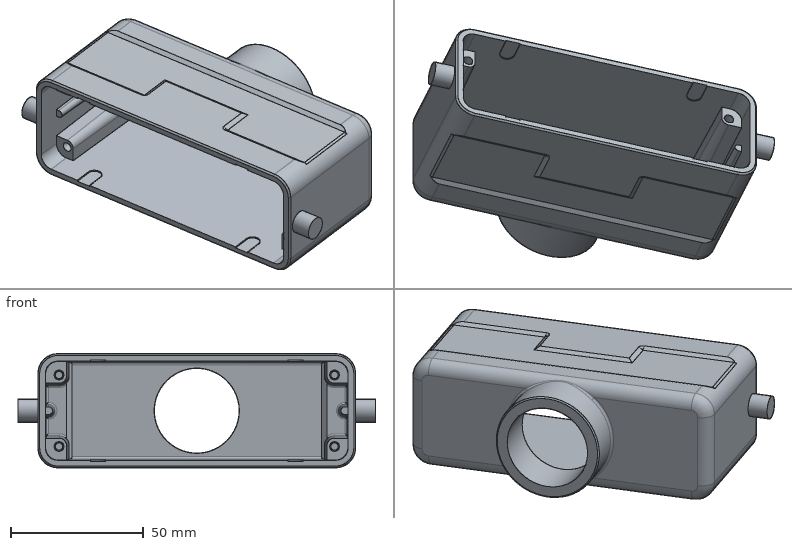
import cadquery as cq
import math

TOTAL_LENGTH = 135.0
TOTAL_DEPTH = 69.5
BODY_LENGTH = 119.9
BODY_DEPTH = 55.0
BODY_HEIGHT = 43.0
CORNER_RADIUS = 7.5
BACK_FILLET = 5.0
RIM_CHAMFER = 0.7

EDGE_MARGIN = 0.1

NECK_DIAMETER = 41.0
NECK_EDGE_CHAMFER = 0.5
NECK_ROOT_FILLET = 1.0
ENTRY_DIAMETER = 32.0
PIN_DIAMETER = 8.8
PIN_TO_MOUTH = 6.1

WALL = 2.8
BACK_WALL = 3.0
WALL_DRAFT = 0.5
SHELF_OPENING_LENGTH = 98.3
FLOOR_LENGTH = 94.0
FLOOR_FILLET = 1.0
SHELF_FILLET = 0.7
CAVITY_LENGTH = BODY_LENGTH - 2 * WALL
CAVITY_HEIGHT = BODY_HEIGHT - 2 * WALL
CAVITY_DEPTH = BODY_DEPTH - BACK_WALL
SHELF_DEPTH = CAVITY_DEPTH - (SHELF_OPENING_LENGTH - FLOOR_LENGTH) / 2

PILLAR_TOP_DEPTH = 9.5
PILLAR_GAP = 20.8
PILLAR_RADIUS = 2.7
PILLAR_DRAFT = 1.4
SCREW_X = 52.0
SCREW_Z = 13.5
SCREW_DIAMETER = 3.6
SCREW_DRAFT = 1.5
SCREW_DEPTH = 16.2
RIB_RADIUS = 1.5
RIB_REACH = 2.7

SLOT_X = 37.3
SLOT_WIDTH = 5.7
SLOT_LENGTH = 9.7
SLOT_DEPTH = 0.4

PANEL_DEPTH = 1.1
PANEL_SLOPE_RUN = 1.8
PANEL_LENGTH = 111.5
PANEL_FRONT = 14.8
PANEL_BACK = 40.2
TAB_WIDTH = 39.2
TAB_FRONT = 27.7
PANEL_EDGE_RUN = 1.2
PANEL_EDGE_DROP = 0.4


def looking_in(depth):
    """Plane parallel to the mouth at the given depth, facing +Y."""
    return cq.Workplane(cq.Plane(origin=(0, depth, 0), xDir=(1, 0, 0), normal=(0, 1, 0)))


def make_body():
    body = looking_in(0).rect(BODY_LENGTH, BODY_HEIGHT).extrude(BODY_DEPTH)
    body = body.edges("|Y").fillet(CORNER_RADIUS)
    body = body.faces(">Y").edges().fillet(BACK_FILLET)
    return body.faces("<Y").edges().chamfer(RIM_CHAMFER)


def make_neck():
    neck = looking_in(BODY_DEPTH / 2).circle(NECK_DIAMETER / 2).extrude(TOTAL_DEPTH - BODY_DEPTH / 2)
    return neck.faces(">Y").chamfer(NECK_EDGE_CHAMFER)


def make_pins():
    pins = cq.Workplane("YZ").center(PIN_TO_MOUTH, 0).circle(PIN_DIAMETER / 2)
    return pins.extrude(TOTAL_LENGTH / 2, both=True)


def make_panel_edge_cutter(side):
    """Strip that lets the end of the recess floor fall away towards the rounded body edge."""
    inner_x = side * PANEL_LENGTH / 2
    outer_x = side * (PANEL_LENGTH / 2 + PANEL_EDGE_RUN)
    top_z = BODY_HEIGHT / 2
    floor_z = top_z - PANEL_DEPTH
    profile = [
        (inner_x, top_z),
        (inner_x, floor_z),
        (outer_x, floor_z - PANEL_EDGE_DROP),
        (outer_x, top_z),
    ]
    strip = cq.Workplane("XZ", origin=(0, PANEL_BACK, 0)).polyline(profile).close()
    return strip.extrude(PANEL_BACK - PANEL_FRONT)


def make_panel_cutter():
    """Cutter for the recess on the +Z face, widening outwards from the recess floor."""
    half_panel = PANEL_LENGTH / 2
    half_tab = TAB_WIDTH / 2
    slope = math.degrees(math.atan2(PANEL_SLOPE_RUN, PANEL_DEPTH))
    outline = [
        (-half_panel, PANEL_FRONT),
        (-half_tab, PANEL_FRONT),
        (-half_tab, TAB_FRONT),
        (half_tab, TAB_FRONT),
        (half_tab, PANEL_FRONT),
        (half_panel, PANEL_FRONT),
        (half_panel, PANEL_BACK),
        (-half_panel, PANEL_BACK),
    ]
    floor = cq.Workplane("XY").workplane(offset=BODY_HEIGHT / 2 - PANEL_DEPTH)
    cutter = floor.polyline(outline).close().extrude(PANEL_DEPTH, taper=-slope)
    for side in (-1, 1):
        cutter = cutter.union(make_panel_edge_cutter(side))
    return cutter


def make_end_shelf(side):
    """Raised end of the cavity floor, sloping down at 45 degrees to the middle."""
    outer_x = side * BODY_LENGTH / 2
    profile = [
        (outer_x, SHELF_DEPTH),
        (side * SHELF_OPENING_LENGTH / 2, SHELF_DEPTH),
        (side * FLOOR_LENGTH / 2, CAVITY_DEPTH),
        (outer_x, CAVITY_DEPTH),
    ]
    return cq.Workplane("XY").polyline(profile).close().extrude(BODY_HEIGHT / 2, both=True)


def make_pillar(side_x, side_z):
    inner_x = SHELF_OPENING_LENGTH / 2
    inner_z = PILLAR_GAP / 2
    size_x = BODY_LENGTH / 2 - inner_x
    size_z = BODY_HEIGHT / 2 - inner_z
    pillar = (
        looking_in(PILLAR_TOP_DEPTH)
        .center(side_x * (inner_x + size_x / 2), -side_z * (inner_z + size_z / 2))
        .sketch()
        .rect(size_x, size_z)
        .vertices()
        .fillet(PILLAR_RADIUS)
        .finalize()
        .extrude(CAVITY_DEPTH - PILLAR_TOP_DEPTH, taper=-PILLAR_DRAFT)
    )
    return pillar


def make_screw_hole(side_x, side_z):
    """Blind screw hole that narrows towards its bottom."""
    hole = looking_in(PILLAR_TOP_DEPTH).center(side_x * SCREW_X, -side_z * SCREW_Z)
    return hole.circle(SCREW_DIAMETER / 2).extrude(SCREW_DEPTH, taper=SCREW_DRAFT)


def make_rib(side):
    """Round-nosed rib standing on an end wall."""
    nose_x = CAVITY_LENGTH / 2 - RIB_REACH
    length = BODY_LENGTH / 2 - nose_x
    rib = looking_in(PILLAR_TOP_DEPTH).center(side * (nose_x + length / 2), 0)
    return rib.slot2D(length, 2 * RIB_RADIUS).extrude(CAVITY_DEPTH - PILLAR_TOP_DEPTH, taper=-PILLAR_DRAFT)


def make_slots():
    """Round-ended slots crossing the mouth, cut into both long walls."""
    slots = cq.Workplane("XY").pushPoints([(-SLOT_X, 0), (SLOT_X, 0)])
    slots = slots.slot2D(2 * SLOT_LENGTH, SLOT_WIDTH, 90)
    return slots.extrude(CAVITY_HEIGHT / 2 + SLOT_DEPTH, both=True)


def round_cavity_roots(cavity):
    """Round the foot of the walls, pillars and ribs on the shelves and of the long walls on the floor."""
    floor_edges = cavity.faces(">Y").edges("|X")
    cavity = floor_edges.fillet(FLOOR_FILLET)
    for side in (-1, 1):
        shelf_box = cq.selectors.BoxSelector(
            (side * (SHELF_OPENING_LENGTH / 2 + EDGE_MARGIN), SHELF_DEPTH - EDGE_MARGIN, -PILLAR_GAP),
            (side * CAVITY_LENGTH / 2, SHELF_DEPTH + EDGE_MARGIN, PILLAR_GAP),
        )
        cavity = cavity.edges(shelf_box).fillet(SHELF_FILLET)
    return cavity


def make_cavity():
    cavity = (
        looking_in(0)
        .sketch()
        .rect(CAVITY_LENGTH, CAVITY_HEIGHT)
        .vertices()
        .fillet(CORNER_RADIUS - WALL)
        .finalize()
        .extrude(CAVITY_DEPTH, taper=WALL_DRAFT)
    )
    for side_x in (-1, 1):
        cavity = cavity.cut(make_end_shelf(side_x)).cut(make_rib(side_x))
        for side_z in (-1, 1):
            cavity = cavity.cut(make_pillar(side_x, side_z))
    return round_cavity_roots(cavity)


shell = make_body().union(make_neck())
neck_root_box = cq.selectors.BoxSelector(
    (-NECK_DIAMETER, BODY_DEPTH - BACK_FILLET, -NECK_DIAMETER),
    (NECK_DIAMETER, BODY_DEPTH + EDGE_MARGIN, NECK_DIAMETER),
)
shell = shell.edges(neck_root_box).edges("%BSPLINE").fillet(NECK_ROOT_FILLET)
shell = shell.union(make_pins())

panel_cutter = make_panel_cutter()
shell = shell.cut(panel_cutter).cut(panel_cutter.mirror("XY"))

shell = shell.cut(make_cavity()).cut(make_slots())
shell = shell.cut(looking_in(0).circle(ENTRY_DIAMETER / 2).extrude(TOTAL_DEPTH))
for side_x in (-1, 1):
    for side_z in (-1, 1):
        shell = shell.cut(make_screw_hole(side_x, side_z))

result = shell